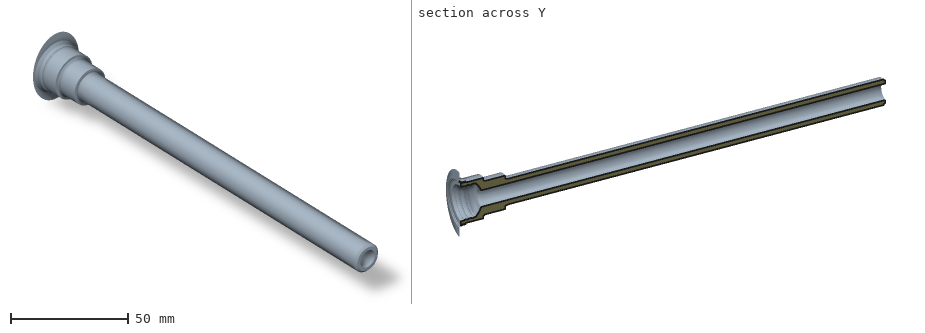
import cadquery as cq

LENGTH = 201.3

FLANGE_WIDTH = 26.0
FLANGE_HEIGHT = 33.0
FLANGE_THICKNESS = 0.2
FLARE_DIAMETER = 24.2
MOUTH_DIAMETER = 23.4
MOUTH_DEPTH = 0.5
THROAT_DIAMETER = 22.3
FLARE_END = 1.5
FACE_DEPTH = 0.8
SLEEVE_DIAMETER = 22.3
SLEEVE_END = 3.5
SLEEVE_CHAMFER = 0.5

HUB_DIAMETER = 21.1
HUB_END = 11.7
COLLAR_DIAMETER = 17.5
COLLAR_END = 22.0
STEP_BEVEL = 0.6
TUBE_DIAMETER = 13.5
TAPER_DIAMETER = 14.0
TAPER_LENGTH = 1.5
TIP_CHAMFER = 1.0

GROOVE_DIAMETER = 17.5
SOCKET_DIAMETER = 17.0
SOCKET_LIP = 2.5
GROOVE_STARTS = (3.8, 6.2)
GROOVE_WIDTH = 0.8
SOCKET_END = 8.0
CONE_DIAMETER = 12.0
CONE_LENGTH = 1.6
FLAT_CONE_LENGTH = 0.8
THROUGH_DIAMETER = 8.3


def revolve_about_x(outline):
    """Turn a closed outline of (x, diameter) points about the X axis."""
    points = [(x, diameter / 2) for x, diameter in outline]
    return cq.Workplane("XY").polyline(points).close().revolve(360, (0, 0), (1, 0))


def cylinder(start, end, diameter):
    """Solid cylinder along X between two stations."""
    return cq.Workplane("YZ", origin=(start, 0, 0)).circle(diameter / 2).extrude(end - start)


def make_flange():
    plate = cq.Workplane("YZ").ellipse(FLANGE_WIDTH / 2, FLANGE_HEIGHT / 2).extrude(FLANGE_THICKNESS)
    sleeve = revolve_about_x([
        (0, 0),
        (0, FLARE_DIAMETER),
        (FLANGE_THICKNESS, FLARE_DIAMETER),
        (FLARE_END, SLEEVE_DIAMETER),
        (SLEEVE_END - SLEEVE_CHAMFER, SLEEVE_DIAMETER),
        (SLEEVE_END, SLEEVE_DIAMETER - 2 * SLEEVE_CHAMFER),
        (SLEEVE_END, 0),
    ])
    opening = revolve_about_x([
        (0, 0),
        (0, MOUTH_DIAMETER),
        (MOUTH_DEPTH, MOUTH_DIAMETER),
        (MOUTH_DEPTH, THROAT_DIAMETER),
        (FACE_DEPTH, THROAT_DIAMETER),
        (FACE_DEPTH, HUB_DIAMETER),
        (SLEEVE_END, HUB_DIAMETER),
        (SLEEVE_END, 0),
    ])
    return plate.union(sleeve).cut(opening)


def make_bore():
    cone_end = SOCKET_END + CONE_LENGTH
    flat_cone_end = cone_end + FLAT_CONE_LENGTH
    bore = revolve_about_x([
        (FACE_DEPTH, 0),
        (FACE_DEPTH, GROOVE_DIAMETER),
        (SOCKET_LIP, GROOVE_DIAMETER),
        (SOCKET_LIP, SOCKET_DIAMETER),
        (SOCKET_END, SOCKET_DIAMETER),
        (cone_end, CONE_DIAMETER),
        (flat_cone_end, THROUGH_DIAMETER),
        (LENGTH, THROUGH_DIAMETER),
        (LENGTH, 0),
    ])
    for start in GROOVE_STARTS:
        bore = bore.union(cylinder(start, start + GROOVE_WIDTH, GROOVE_DIAMETER))
    return bore


def make_tube():
    blank = revolve_about_x([
        (FACE_DEPTH, 0),
        (FACE_DEPTH, HUB_DIAMETER),
        (HUB_END, HUB_DIAMETER),
        (HUB_END, COLLAR_DIAMETER + 2 * STEP_BEVEL),
        (HUB_END + STEP_BEVEL, COLLAR_DIAMETER),
        (COLLAR_END, COLLAR_DIAMETER),
        (COLLAR_END, TAPER_DIAMETER),
        (COLLAR_END + TAPER_LENGTH, TUBE_DIAMETER),
        (LENGTH - TIP_CHAMFER, TUBE_DIAMETER),
        (LENGTH, TUBE_DIAMETER - 2 * TIP_CHAMFER),
        (LENGTH, 0),
    ])
    return blank.cut(make_bore())


flange = make_flange()
tube = make_tube()

result = cq.Compound.makeCompound([flange.val(), tube.val()])